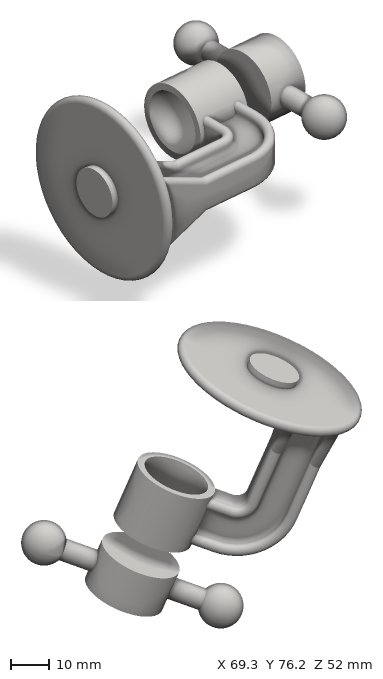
import cadquery as cq


disc_dia = 51.95
disc_thickness = 3.0
disc_center_x = 12.3
boss_dia = 14.0
boss_height = 2.0

socket_dia = 22.0
socket_bore_dia = 18.0
socket_length = 17.0
socket_center_y = 42.4

arm_width = 14.0
arm_height = 10.0
arm_center_x = 26.5
arm_bend_radius = 10.0
flange_thickness = 3.0
web_thickness = 3.0
web_fillet = 1.2

flare_length = 15.55
flare_half_height = 10.05

knob_dia = 22.0
knob_length = 12.1
ball_dia = 12.0
bar_dia = 6.0
ball_spacing = 50.0
overall_length = 76.2

disc_front_y = -disc_thickness
boss_front_y = disc_front_y - boss_height
knob_back_y = boss_front_y + overall_length
knob_center_y = knob_back_y - knob_length / 2
flange_radius = flange_thickness / 2
flange_offset = (arm_width - flange_thickness) / 2
flange_tip_center_z = arm_height / 2 - flange_radius


def cylinder_along_y(diameter, start_y, length, center_x=0.0):
    return cq.Workplane(
        cq.Solid.makeCylinder(
            diameter / 2, length, cq.Vector(center_x, start_y, 0), cq.Vector(0, 1, 0)
        )
    )


def make_base_disc():
    """Disc with a half-round rim, and the low boss on its front face."""
    flat_radius = disc_dia / 2 - disc_thickness / 2
    half_profile = (
        cq.Workplane("XY")
        .lineTo(flat_radius, 0)
        .threePointArc((disc_dia / 2, disc_front_y / 2), (flat_radius, disc_front_y))
        .lineTo(0, disc_front_y)
        .close()
    )
    disc = half_profile.revolve(360, (0, 0), (0, 1)).translate((disc_center_x, 0, 0))
    boss = cylinder_along_y(boss_dia, boss_front_y, boss_height, disc_center_x)
    return disc.union(boss)


def make_arm_section():
    """I-section: two flanges with full-round tips, joined by a filleted web."""
    half_width = arm_width / 2
    half_web = web_thickness / 2
    flange_inner_x = half_width - flange_thickness
    quarter = (
        cq.Workplane("XZ", origin=(arm_center_x, 0, 0))
        .moveTo(0, half_web)
        .lineTo(flange_inner_x - web_fillet, half_web)
        .tangentArcPoint((flange_inner_x, half_web + web_fillet), relative=False)
        .lineTo(flange_inner_x, flange_tip_center_z)
        .threePointArc((flange_offset, arm_height / 2), (half_width, flange_tip_center_z))
        .lineTo(half_width, 0)
    )
    return quarter.mirrorX().mirrorY()


def make_arm():
    """Arm from the disc back along Y, then bent a quarter turn into the socket."""
    bend_start_y = socket_center_y - arm_bend_radius
    bend_end_x = arm_center_x - arm_bend_radius
    path = (
        cq.Workplane("XY")
        .moveTo(arm_center_x, 0)
        .lineTo(arm_center_x, bend_start_y)
        .tangentArcPoint((bend_end_x, socket_center_y), relative=False)
        .lineTo(0, socket_center_y)
    )
    return make_arm_section().sweep(path)


def make_flare(center_x):
    """Spread a flange towards the disc, keeping its sloping edges fully rounded."""
    core_points = [
        (flare_length, flange_tip_center_z),
        (0, flare_half_height),
        (0, -flare_half_height),
        (flare_length, -flange_tip_center_z),
    ]
    flare = (
        cq.Workplane("YZ", origin=(center_x, 0, 0))
        .polyline(core_points)
        .close()
        .extrude(flange_radius, both=True)
    )
    embed_depth = disc_thickness / 2
    slope = (flare_half_height - flange_tip_center_z) / flare_length
    for side in (1, -1):
        tip = cq.Vector(center_x, flare_length, side * flange_tip_center_z)
        root_z = side * (flare_half_height + slope * embed_depth)
        run = cq.Vector(center_x, -embed_depth, root_z) - tip
        edge = cq.Solid.makeCylinder(flange_radius, run.Length, tip, run)
        flare = flare.union(cq.Workplane(edge))
    return flare


def make_bracket():
    """Base disc, arm and socket as one body."""
    socket_front_y = socket_center_y - socket_length / 2
    bracket = make_base_disc().union(make_arm())
    for side in (-1, 1):
        bracket = bracket.union(make_flare(arm_center_x + side * flange_offset))
    bracket = bracket.union(cylinder_along_y(socket_dia, socket_front_y, socket_length))
    return bracket.cut(cylinder_along_y(socket_bore_dia, socket_front_y, socket_length))


def make_knob():
    """Round knob crossed by a bar that carries a ball at each end."""
    knob = cylinder_along_y(knob_dia, knob_back_y - knob_length, knob_length)
    bar = (
        cq.Workplane("YZ", origin=(-ball_spacing / 2, knob_center_y, 0))
        .circle(bar_dia / 2)
        .extrude(ball_spacing)
    )
    knob = knob.union(bar)
    for side in (-1, 1):
        ball = cq.Workplane("XY").sphere(ball_dia / 2)
        knob = knob.union(ball.translate((side * ball_spacing / 2, knob_center_y, 0)))
    return knob


bracket = make_bracket()
knob = make_knob()

result = cq.Compound.makeCompound([bracket.val(), knob.val()])